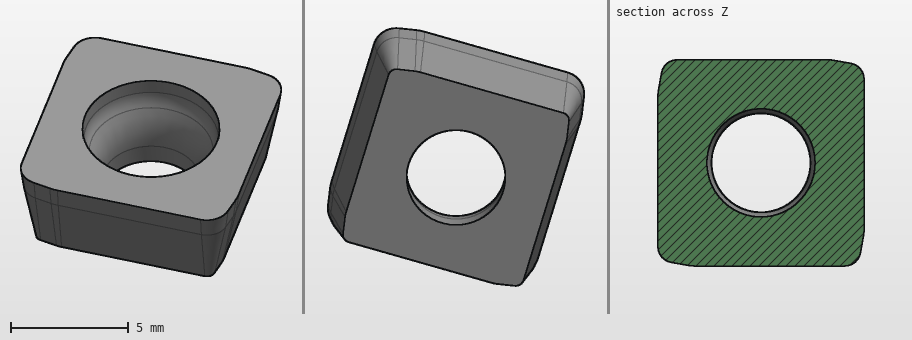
import cadquery as cq
import math

width = 9.4
thickness = 4.0
rim_height = 1.0
rim_clearance = 7.0
lower_clearance = 10.0

nose_radius = 1.0
nose_center_offset = 3.555
wiper_angle = 10.0
wiper_blend_radius = 2.0

hole_diameter = 4.2
throat_height = 0.92
seat_radius = 3.15
relief_radius = 1.4
seat_angle = 34.0
mouth_angle = 4.0

half_width = width / 2
corner_count = 4


def turned(point, quarter_turns):
    """Rotate a point about the Z axis by a number of quarter turns."""
    x, y = point
    for _ in range(quarter_turns):
        x, y = -y, x
    return x, y


def on_arc(center, radius, degrees):
    """Point on a circle at the given direction from its center."""
    angle = math.radians(degrees)
    return center[0] + radius * math.cos(angle), center[1] + radius * math.sin(angle)


def top_outline(plane):
    """Square with four identical corners, each a nose arc, a wiper flat and a blend arc."""
    side_normal = 270.0
    wiper_normal = side_normal - wiper_angle
    neighbour_normal = 180.0
    nose_center = (nose_radius - half_width, -nose_center_offset)

    blend_center_y = wiper_blend_radius - half_width
    sine = math.sin(math.radians(wiper_angle))
    cosine = math.cos(math.radians(wiper_angle))
    center_gap_y = blend_center_y - nose_center[1]
    radius_gap = wiper_blend_radius - nose_radius
    blend_center_x = nose_center[0] + (radius_gap - center_gap_y * cosine) / sine
    blend_center = (blend_center_x, blend_center_y)

    nose_start = on_arc(nose_center, nose_radius, neighbour_normal)
    nose_middle = on_arc(nose_center, nose_radius, (neighbour_normal + wiper_normal) / 2)
    nose_end = on_arc(nose_center, nose_radius, wiper_normal)
    blend_start = on_arc(blend_center, wiper_blend_radius, wiper_normal)
    blend_middle = on_arc(blend_center, wiper_blend_radius, (wiper_normal + side_normal) / 2)
    blend_end = on_arc(blend_center, wiper_blend_radius, side_normal)

    outline = plane.moveTo(*nose_start)
    for turn in range(corner_count):
        outline = outline.threePointArc(turned(nose_middle, turn), turned(nose_end, turn))
        outline = outline.lineTo(*turned(blend_start, turn))
        outline = outline.threePointArc(turned(blend_middle, turn), turned(blend_end, turn))
        if turn < corner_count - 1:
            outline = outline.lineTo(*turned(nose_start, turn + 1))
    return outline.close()


def make_body():
    """Two tapered bands, the rim above and the more strongly relieved flank below."""
    top_plane = cq.Workplane("XY", origin=(0, 0, thickness))
    rim = top_outline(top_plane).extrude(-rim_height, taper=rim_clearance)
    lower_height = thickness - rim_height
    lower = (
        rim.faces("<Z")
        .wires()
        .toPending()
        .workplane(origin=(0, 0, lower_height))
        .extrude(lower_height, taper=lower_clearance, combine=False)
    )
    return rim.union(lower)


def make_hole():
    """Revolved cutter for the screw hole; neighbouring seat, relief and mouth are tangent."""
    hole_radius = hole_diameter / 2
    seat_center = (hole_radius + seat_radius, throat_height)
    seat_bottom = (hole_radius, throat_height)
    seat_middle = on_arc(seat_center, seat_radius, 180 - seat_angle / 2)
    seat_top = on_arc(seat_center, seat_radius, 180 - seat_angle)

    relief_center = on_arc(seat_top, relief_radius, 180 - seat_angle)
    relief_middle = on_arc(relief_center, relief_radius, -(seat_angle + mouth_angle) / 2)
    relief_top = on_arc(relief_center, relief_radius, -mouth_angle)
    mouth_depth = thickness - relief_top[1]
    mouth_radius = relief_top[0] + mouth_depth * math.tan(math.radians(mouth_angle))

    return (
        cq.Workplane("XZ")
        .lineTo(hole_radius, 0)
        .lineTo(*seat_bottom)
        .threePointArc(seat_middle, seat_top)
        .threePointArc(relief_middle, relief_top)
        .lineTo(mouth_radius, thickness)
        .lineTo(0, thickness)
        .close()
        .revolve(360, (0, 0, 0), (0, 1, 0))
    )


result = make_body().cut(make_hole())